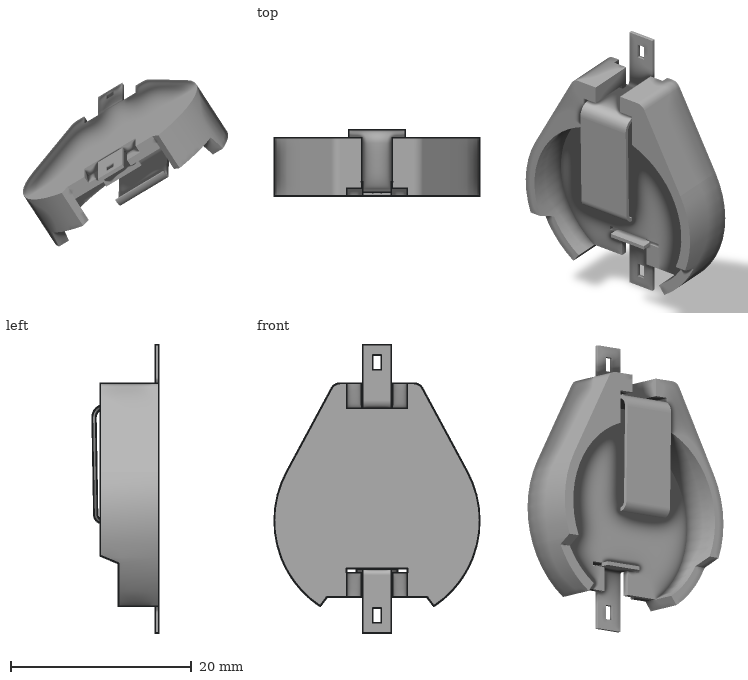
import cadquery as cq
import math


outer_radius = 11.37
cup_depth = 6.5
cup_top = 15.2
top_corner_x = 4.73
top_corner_radius = 1.1
cup_bottom = -8.47
tip_x = 6.3
notch_half_width = 5.53

low_rim_depth = 4.47
rim_slope_top = -3.9
rim_slope_bottom = -4.73

cell_radius = 10.15
floor_thickness = 1.63
pocket_width = 6.7
pocket_top = 13.23

recess_width = 6.7
recess_depth = 0.85
top_recess_floor = 12.43
bottom_recess_roof = -5.3
window_bottom = -5.75
slot_width = 3.4

sheet = 0.4
terminal_width = 3.2
terminal_top = 19.5
terminal_bottom = -12.45
terminal_hole_width = 0.9
terminal_hole_height = 1.6
terminal_hole_margin = 1.18

lower_plate_top = -5.37
lower_bend_radius = 0.65
flange_width = 4.57
flange_length = 1.28
flange_corner_radius = 0.38

upper_bend_radius = 0.85
spring_width = 6.25
spring_back = 7.38
spring_bend_radius = 1.45
spring_end_radius = 1.02
spring_leg_length = 10.7
spring_tilt = 1.0


def block(width, y_start, y_end, z_start, z_end):
    """Box centred on X = 0 between the given depths and heights."""
    size_y = y_end - y_start
    size_z = z_end - z_start
    box = cq.Workplane("XY").box(width, size_y, size_z)
    return box.translate((0, y_start + size_y / 2, z_start + size_z / 2))


def swung(point, centre, degrees):
    """Point turned about a centre, both given as (y, z)."""
    swing = math.radians(degrees)
    dy = point[0] - centre[0]
    dz = point[1] - centre[1]
    return (
        centre[0] + dy * math.cos(swing) - dz * math.sin(swing),
        centre[1] + dy * math.sin(swing) + dz * math.cos(swing),
    )


def bent_strip(start, heading, moves, width):
    """Sheet strip whose centre line starts at (y, z) and follows the moves.

    A move is ("straight", length) or ("bend", signed degrees, outer radius);
    a positive bend turns from +Y towards +Z.
    """
    y, z = start
    strip = None
    for move in moves:
        angle = math.radians(heading)
        normal = (-math.sin(angle), math.cos(angle))
        half = sheet / 2
        left = (y + half * normal[0], z + half * normal[1])
        right = (y - half * normal[0], z - half * normal[1])
        section = cq.Workplane("YZ").moveTo(*left).lineTo(*right)
        if move[0] == "straight":
            run_y = move[1] * math.cos(angle)
            run_z = move[1] * math.sin(angle)
            section = section.lineTo(right[0] + run_y, right[1] + run_z)
            section = section.lineTo(left[0] + run_y, left[1] + run_z)
            y += run_y
            z += run_z
        else:
            _, turn, bend_radius = move
            side = math.copysign(1, turn)
            middle_radius = bend_radius - half
            centre = (y + side * middle_radius * normal[0], z + side * middle_radius * normal[1])
            section = section.threePointArc(swung(right, centre, turn / 2), swung(right, centre, turn))
            section = section.lineTo(*swung(left, centre, turn))
            section = section.threePointArc(swung(left, centre, turn / 2), left)
            y, z = swung((y, z), centre, turn)
            heading += turn
        piece = section.close().extrude(width / 2, both=True)
        strip = piece if strip is None else strip.union(piece)
    return strip


def terminal_hole(z_start):
    """Cutter for the solder hole of a terminal, from its lower edge upwards."""
    return block(terminal_hole_width, -sheet, 2 * sheet, z_start, z_start + terminal_hole_height)


def make_cup_blank():
    """Pear-shaped outline extruded to the full depth, with rounded top corners."""
    corner_distance = math.hypot(top_corner_x, cup_top)
    tangent_angle = math.atan2(cup_top, top_corner_x) - math.acos(outer_radius / corner_distance)
    tangent_x = outer_radius * math.cos(tangent_angle)
    tangent_z = outer_radius * math.sin(tangent_angle)
    tip_z = -math.sqrt(outer_radius**2 - tip_x**2)
    blank = (
        cq.Workplane("XZ")
        .moveTo(-top_corner_x, cup_top)
        .lineTo(top_corner_x, cup_top)
        .lineTo(tangent_x, tangent_z)
        .threePointArc((outer_radius, 0), (tip_x, tip_z))
        .lineTo(notch_half_width, cup_bottom)
        .lineTo(-notch_half_width, cup_bottom)
        .lineTo(-tip_x, tip_z)
        .threePointArc((-outer_radius, 0), (-tangent_x, tangent_z))
        .close()
        .extrude(-cup_depth)
    )
    return blank.faces(">Z").edges("|Y").fillet(top_corner_radius)


def low_rim_cutter():
    """Removes the back of the lower rim below a sloped step."""
    return (
        cq.Workplane("YZ")
        .moveTo(cup_depth, rim_slope_top)
        .lineTo(low_rim_depth, rim_slope_bottom)
        .lineTo(low_rim_depth, -outer_radius)
        .lineTo(cup_depth, -outer_radius)
        .close()
        .extrude(outer_radius, both=True)
    )


def make_cup():
    cup = make_cup_blank().cut(low_rim_cutter())
    seat = cq.Workplane("XZ", origin=(0, floor_thickness, 0)).circle(cell_radius).extrude(-cup_depth)
    cup = cup.cut(seat)
    cup = cup.cut(block(pocket_width, floor_thickness, cup_depth, 0, pocket_top))
    cup = cup.cut(block(recess_width, 0, recess_depth, top_recess_floor, cup_top))
    cup = cup.cut(block(slot_width, 0, cup_depth, top_recess_floor, cup_top))
    cup = cup.cut(block(recess_width, 0, recess_depth, cup_bottom, bottom_recess_roof))
    cup = cup.cut(block(recess_width, 0, floor_thickness, window_bottom, bottom_recess_roof))
    return cup.cut(block(slot_width, 0, floor_thickness, cup_bottom, bottom_recess_roof))


def make_lower_terminal():
    """Terminal that points down; its flange sits against the back of the floor below the window."""
    upright = lower_plate_top - lower_bend_radius - terminal_bottom
    moves = [
        ("straight", upright),
        ("bend", -90, lower_bend_radius),
        ("straight", floor_thickness - lower_bend_radius),
    ]
    terminal = bent_strip((sheet / 2, terminal_bottom), 90, moves, terminal_width)
    flange = block(
        flange_width,
        floor_thickness,
        floor_thickness + flange_length,
        lower_plate_top - sheet,
        lower_plate_top,
    )
    flange = flange.edges("|Z and <Y").fillet(flange_corner_radius)
    return terminal.union(flange).cut(terminal_hole(terminal_bottom + terminal_hole_margin))


def make_spring_contact():
    """Terminal that points up, bends into the cup and folds over its open back."""
    upright = terminal_top - top_recess_floor - upper_bend_radius
    moves = [
        ("straight", upright),
        ("bend", 90, upper_bend_radius),
        ("straight", floor_thickness - upper_bend_radius),
    ]
    terminal = bent_strip((sheet / 2, terminal_top), -90, moves, terminal_width)
    terminal = terminal.cut(terminal_hole(terminal_top - terminal_hole_margin - terminal_hole_height))
    moves = [
        ("straight", spring_back - spring_bend_radius - floor_thickness),
        ("bend", -90 - spring_tilt, spring_bend_radius),
        ("straight", spring_leg_length),
        ("bend", -90 + spring_tilt, spring_end_radius),
    ]
    plate_middle = top_recess_floor + sheet / 2
    return terminal.union(bent_strip((floor_thickness, plate_middle), 0, moves, spring_width))


housing = make_cup().union(make_lower_terminal())
spring_contact = make_spring_contact()

result = cq.Compound.makeCompound([housing.solids().val(), spring_contact.solids().val()])